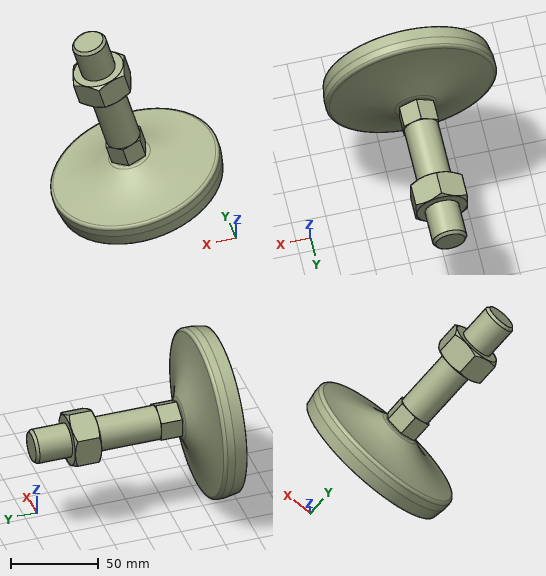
import cadquery as cq
import math


foot_diameter = 100.0
pad_height = 7.5
pad_draft_angle = 10.0
rim_top = 12.0
rim_radius = 2.0
flank_radius = 100.0
flank_end_slope = 5.5
crown_radius = 5.0
foot_height = 25.0

neck_diameter = 10.0
neck_length = 1.0
collar_width = 20.0
collar_length = 12.5
stud_diameter = 20.0
stud_length = 75.0
tip_chamfer_length = 1.85
tip_chamfer_depth = 1.4

nut_width = 30.0
nut_height = 16.0
nut_start = 76.0
nut_face_diameter = 29.5
nut_chamfer_angle = 30.0

collar_start = foot_height + neck_length
stud_start = collar_start + collar_length
stud_end = stud_start + stud_length


def corner_diameter(width):
    """Diameter across the corners of a hexagon, from its width across flats."""
    return width / math.cos(math.radians(30.0))


def plane_at(height):
    """Plane square to the axis, facing +Y, with its local X along global Z."""
    return cq.Plane(origin=(0, height, 0), xDir=(0, 0, 1), normal=(0, 1, 0))


def hexagon(width, start, length):
    """Hexagonal prism with flats facing +X and -X and corners on +Z and -Z."""
    return cq.Workplane(plane_at(start)).polygon(6, corner_diameter(width)).extrude(length)


def revolve_about_axis(profile):
    return profile.close().revolve(360, (0, 0, 0), (0, 1, 0))


def make_foot():
    """Drafted pad, straight rim and concave flank rising to a flat crown."""
    foot_radius = foot_diameter / 2
    pad_radius = foot_radius - pad_height * math.tan(math.radians(pad_draft_angle))

    slope = math.radians(flank_end_slope)
    rim_center_x = foot_radius - rim_radius
    flank_start = (
        rim_center_x + rim_radius * math.sin(slope),
        rim_top + rim_radius * math.cos(slope),
    )
    flank_center_x = flank_start[0] + flank_radius * math.sin(slope)
    flank_center_y = flank_start[1] + flank_radius * math.cos(slope)

    crown_center_y = foot_height - crown_radius
    center_distance = flank_radius + crown_radius
    rise = flank_center_y - crown_center_y
    reach = math.sqrt(center_distance**2 - rise**2)
    crown_center_x = flank_center_x - reach
    flank_end = (
        crown_center_x + crown_radius * reach / center_distance,
        crown_center_y + crown_radius * rise / center_distance,
    )

    return revolve_about_axis(
        cq.Workplane("XY")
        .lineTo(pad_radius, 0)
        .lineTo(foot_radius, pad_height)
        .lineTo(foot_radius, rim_top)
        .radiusArc(flank_start, -rim_radius)
        .radiusArc(flank_end, flank_radius)
        .radiusArc((crown_center_x, foot_height), -crown_radius)
        .lineTo(0, foot_height)
    )


def make_stud():
    """Neck, hexagonal collar and round shank with a chamfered tip."""
    neck = cq.Workplane(plane_at(foot_height)).circle(neck_diameter / 2).extrude(neck_length)
    collar = hexagon(collar_width, collar_start, collar_length)
    stud_radius = stud_diameter / 2
    shank = revolve_about_axis(
        cq.Workplane("XY")
        .moveTo(0, stud_start)
        .lineTo(stud_radius, stud_start)
        .lineTo(stud_radius, stud_end - tip_chamfer_length)
        .lineTo(stud_radius - tip_chamfer_depth, stud_end)
        .lineTo(0, stud_end)
    )
    return neck.union(collar).union(shank)


def make_nut():
    """Hexagonal nut whose corners are turned off conically at both ends."""
    face_radius = nut_face_diameter / 2
    corner_radius = corner_diameter(nut_width) / 2
    chamfer_length = (corner_radius - face_radius) * math.tan(math.radians(nut_chamfer_angle))
    nut_end = nut_start + nut_height
    envelope = revolve_about_axis(
        cq.Workplane("XY")
        .moveTo(0, nut_start)
        .lineTo(face_radius, nut_start)
        .lineTo(corner_radius, nut_start + chamfer_length)
        .lineTo(corner_radius, nut_end - chamfer_length)
        .lineTo(face_radius, nut_end)
        .lineTo(0, nut_end)
    )
    return hexagon(nut_width, nut_start, nut_height).intersect(envelope)


result = make_foot().union(make_stud()).union(make_nut())